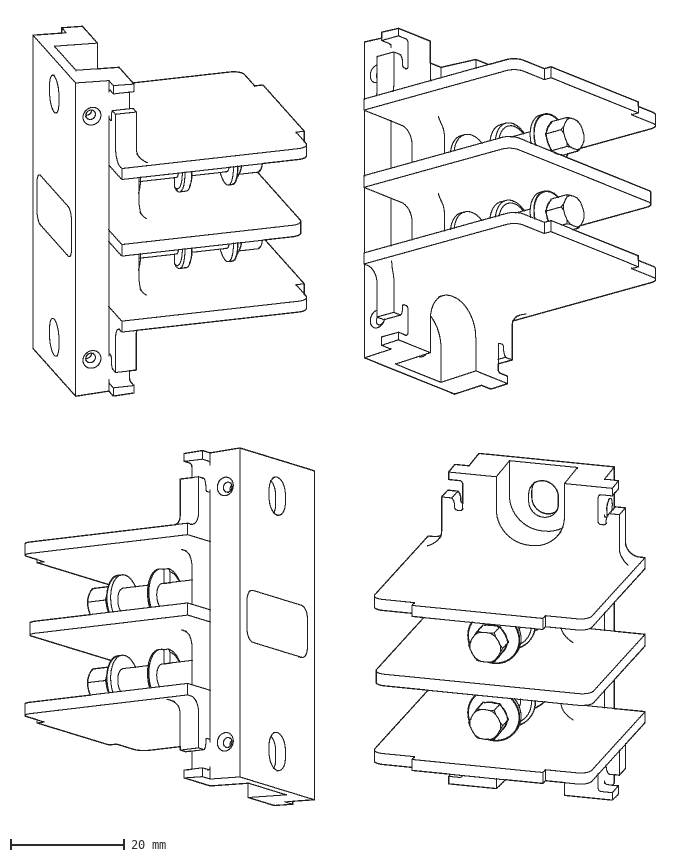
import cadquery as cq
import math


height = 59.2
base_width = 25.0
base_depth = 6.15
end_depth = 10.0
end_draft = 0.4

plate_width = 40.0
plate_corner = 2.1
outer_plate_back = 40.95
outer_plate_inside = 13.4
outer_plate_outside = 15.45
lip_width = 24.15
lip_back = 42.5
middle_plate_back = 39.9
middle_plate_thickness = 2.2

block_width = 13.4
block_back = 13.55
block_side_flare = 2.9
block_back_flare = 0.9

ear_width = 32.8
ear_top = 24.4
ear_side_flare = 2.55
ear_back_flare = 1.6
notch_width = 27.95
notch_bottom = 22.2
notch_round_width = 0.55
notch_round_height = 1.35
notch_fillet = 0.5

tab_width = 30.2
tab_bottom = 27.75
tab_fillet = 0.6

slot_height = 22.95
slot_width = 5.45
slot_length = 6.8
pocket_width = 12.55
pocket_front = 2.0
pocket_floor_radius = 6.0

recess_width = 20.1
recess_height = 9.35
recess_depth = 4.0
recess_draft = 0.6
recess_corner = 2.0
recess_floor_fillet = 1.0

side_hole_depth_position = 3.0
side_hole_radius = 0.9
side_hole_depth = 2.95
countersink_radius = 1.65
countersink_depth = 0.75

shank_radius = 2.4
flange_radius = 5.05
flange_thickness = 0.8
washer_radius = 5.05
washer_back = 24.15
washer_front = 23.55
split_ring_front = 22.3
washer_bevel_radial = 0.6
washer_bevel_axial = 0.3
rim_front = 31.7
rim_back = 32.5
rim_radius = 4.8
cone_back = 33.8
cone_top_radius = 2.9
cone_base_radius = 4.7
head_back = 37.7
head_across_flats = 5.45
head_core_radius = 2.8
head_chamfer = 0.3

screw_height = (middle_plate_thickness / 2 + outer_plate_inside) / 2


def box(width, front, back, bottom, top):
    """Box centred on X = 0 between two Y positions and two Z positions."""
    solid = cq.Workplane("XY").box(width, back - front, top - bottom, centered=(True, False, False))
    return solid.translate((0, front, bottom))


def cylinder(radius, front, back):
    """Cylinder about the Y axis."""
    return cq.Workplane("XZ", origin=(0, front, 0)).circle(radius).extrude(front - back)


def revolve_about_y(profile):
    """Solid of revolution about the Y axis from (radius, Y) points."""
    return cq.Workplane("XY").polyline(profile).close().revolve(360, (0, 0, 0), (0, 1, 0))


def bevelled_disc(square_face, bevelled_face):
    """Washer-sized disc about the Y axis with its rim bevelled at one face only."""
    bevel_start = bevelled_face - math.copysign(washer_bevel_axial, bevelled_face - square_face)
    return revolve_about_y(
        [
            (0, square_face),
            (washer_radius, square_face),
            (washer_radius, bevel_start),
            (washer_radius - washer_bevel_radial, bevelled_face),
            (0, bevelled_face),
        ]
    )


def with_mirror(shape):
    """Shape together with its mirror image below Z = 0."""
    return shape.union(shape.mirror("XY"))


def base_slab():
    """Slab behind the mounting face, deep enough to fill both drafted ends."""
    return box(base_width, 0, base_depth, -height / 2, height / 2)


def outer_plate():
    """Upper barrier plate with rounded back corners and a raised lip on its back edge."""
    plate = box(plate_width, base_depth, outer_plate_back, outer_plate_inside, outer_plate_outside)
    plate = plate.edges("|Z and >Y").fillet(plate_corner)
    lip = box(lip_width, base_depth, lip_back, outer_plate_inside, outer_plate_outside)
    return plate.union(lip)


def middle_plate():
    """Central barrier plate with rounded back corners."""
    half_thickness = middle_plate_thickness / 2
    plate = box(plate_width, base_depth, middle_plate_back, -half_thickness, half_thickness)
    return plate.edges("|Z and >Y").fillet(plate_corner)


def end_block():
    """Upper end block with its tabs and ears, flared where it meets the outer plate."""
    body_side = base_width / 2
    tab_side = tab_width / 2
    notch_side = notch_width / 2
    ear_side = ear_width / 2
    foot = outer_plate_outside
    outline = (
        cq.Workplane("XZ")
        .moveTo(0, height / 2)
        .lineTo(tab_side, height / 2)
        .lineTo(tab_side, tab_bottom)
        .lineTo(body_side + tab_fillet, tab_bottom)
        .tangentArcPoint((body_side, tab_bottom - tab_fillet), relative=False)
        .lineTo(body_side, notch_bottom + notch_fillet)
        .tangentArcPoint((body_side + notch_fillet, notch_bottom), relative=False)
        .lineTo(notch_side - notch_fillet, notch_bottom)
        .tangentArcPoint((notch_side, notch_bottom + notch_fillet), relative=False)
        .lineTo(notch_side, ear_top - notch_round_height)
        .tangentArcPoint((notch_side + notch_round_width, ear_top), relative=False)
        .lineTo(ear_side, ear_top)
        .lineTo(ear_side, foot + ear_side_flare)
        .tangentArcPoint((ear_side + ear_side_flare, foot), relative=False)
        .lineTo(0, foot)
        .close()
    )
    half = outline.extrude(-(end_depth + ear_back_flare))
    block = half.union(half.mirror("YZ"))
    side_profile = (
        cq.Workplane("YZ")
        .moveTo(base_depth, foot)
        .lineTo(base_depth, height / 2)
        .lineTo(end_depth, height / 2)
        .lineTo(end_depth, foot + ear_back_flare)
        .tangentArcPoint((end_depth + ear_back_flare, foot), relative=False)
        .close()
        .extrude(plate_width / 2, both=True)
    )
    return block.intersect(side_profile)


def draft_wedge():
    """Wedge above the drafted upper end face."""
    return (
        cq.Workplane("YZ")
        .polyline([(0, height / 2), (end_depth, height / 2), (end_depth, height / 2 - end_draft)])
        .close()
        .extrude(plate_width / 2, both=True)
    )


def terminal_block():
    """Block between the middle and upper plates, flared into both of them."""
    bottom = middle_plate_thickness / 2
    top = outer_plate_inside
    foot_width = block_width + 2 * block_side_flare
    foot_back = block_back + block_back_flare
    block = box(foot_width, base_depth, foot_back, bottom, top)
    side_offset = (block_width + plate_width) / 2
    side_gap = box(plate_width, base_depth, foot_back, bottom, top).edges("|Y").fillet(block_side_flare)
    for side in (-1, 1):
        block = block.cut(side_gap.translate((side * side_offset, 0, 0)))
    back_gap = box(plate_width, block_back, outer_plate_back, bottom, top).edges("|X").fillet(block_back_flare)
    return block.cut(back_gap)


def mounting_slot():
    """Upright slot through the mounting face and the pocket behind it, open at the back and the end."""
    slot = (
        cq.Workplane("XZ", origin=(0, 0, slot_height))
        .slot2D(slot_length, slot_width, 90)
        .extrude(-end_depth)
    )
    pocket = box(pocket_width, pocket_front, lip_back, slot_height - pocket_floor_radius, height)
    pocket = pocket.edges("|Y and <Z").fillet(pocket_floor_radius)
    return slot.union(pocket)


def side_holes():
    """Pair of countersunk blind holes, one in each side of the base."""
    side = base_width / 2
    profile = [
        (side, 0),
        (side, countersink_radius),
        (side - countersink_depth, side_hole_radius),
        (side - side_hole_depth, side_hole_radius),
        (side - side_hole_depth, 0),
    ]
    hole = cq.Workplane("XY").polyline(profile).close().revolve(360, (0, 0, 0), (1, 0, 0))
    hole = hole.translate((0, side_hole_depth_position, slot_height))
    return hole.union(hole.mirror("YZ"))


def face_recess():
    """Rounded rectangular recess in the mounting face with drafted walls and a filleted floor."""
    mouth = cq.Sketch().rect(recess_width, recess_height).vertices().fillet(recess_corner)
    floor_width = recess_width - 2 * recess_draft
    floor_height = recess_height - 2 * recess_draft
    floor = cq.Sketch().rect(floor_width, floor_height).vertices().fillet(recess_corner)
    recess = (
        cq.Workplane("XZ")
        .placeSketch(mouth, floor.moved(cq.Location(cq.Vector(0, 0, -recess_depth))))
        .loft(ruled=True)
    )
    return recess.faces(">Y").edges().fillet(recess_floor_fillet)


def make_housing():
    solid = base_slab().union(middle_plate())
    for feature in (end_block(), outer_plate(), terminal_block()):
        solid = solid.union(with_mirror(feature))
    for cutter in (draft_wedge(), mounting_slot(), side_holes()):
        solid = solid.cut(cutter).cut(cutter.mirror("XY"))
    return solid.cut(face_recess())


def screw_head():
    """Hexagon head whose flats are bulged by a slightly larger round core, chamfered at its corners."""
    corner_radius = head_across_flats / 2 / math.cos(math.pi / 6)
    hexagon = (
        cq.Workplane("XZ", origin=(0, cone_back, 0))
        .polygon(6, 2 * corner_radius)
        .extrude(cone_back - head_back)
    )
    corner_trim = cylinder(corner_radius, cone_back, head_back).faces(">Y").chamfer(head_chamfer)
    return hexagon.intersect(corner_trim).union(cylinder(head_core_radius, cone_back, head_back))


def split_ring():
    """Half of the lock ring in front of the washer, on the +X side of the shank."""
    ring = bevelled_disc(washer_front, split_ring_front)
    half_space = box(2 * washer_radius, split_ring_front, washer_front, -washer_radius, washer_radius)
    return ring.intersect(half_space.translate((washer_radius, 0, 0)))


def make_screw(z):
    """Terminal screw that stands on the terminal block at height z."""
    flange_back = block_back + flange_thickness
    flange = cylinder(flange_radius, block_back, flange_back)
    shank = cylinder(shank_radius, flange_back, rim_front)
    washer = bevelled_disc(washer_front, washer_back)
    rim = cylinder(rim_radius, rim_front, rim_back)
    cone_profile = [(0, rim_back), (cone_base_radius, rim_back), (cone_top_radius, cone_back), (0, cone_back)]
    cone = revolve_about_y(cone_profile)
    screw = flange
    for piece in (shank, split_ring(), washer, rim, cone, screw_head()):
        screw = screw.union(piece)
    return screw.translate((0, 0, z))


housing = make_housing()
screws = [make_screw(side * screw_height) for side in (-1, 1)]
result = cq.Compound.makeCompound([body.solids().val() for body in (housing, *screws)])